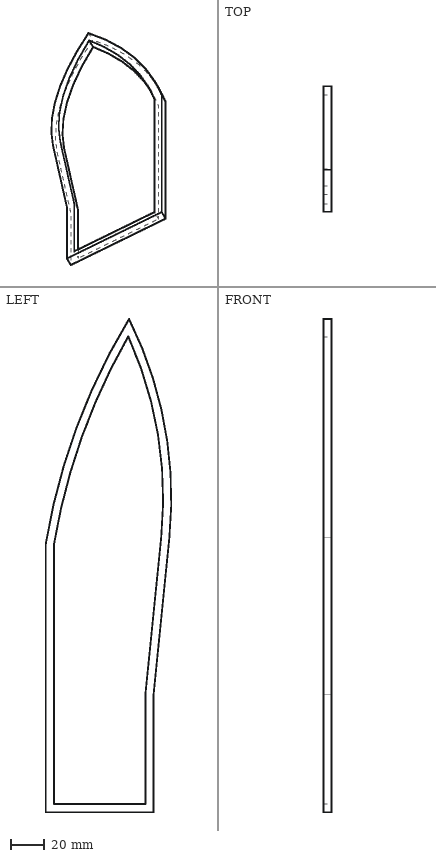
import cadquery as cq

bar_width = 5.0
bar_depth = 5.0

height = 298.0
base_width = 65.2
front_edge_height = 71.2
back_edge_height = 162.0
tip_setback = 50.3

front_arc_start = (-74.8, 166.0)
front_arc_middle = (-72.0, 232.7)
back_arc_middle = (-18.0, 230.3)

tip = (-tip_setback, height)


def outline():
    """Closed outer outline of the pointed frame in the YZ plane."""
    return (
        cq.Workplane("YZ")
        .moveTo(0, 0)
        .lineTo(-base_width, 0)
        .lineTo(-base_width, front_edge_height)
        .lineTo(*front_arc_start)
        .threePointArc(front_arc_middle, tip)
        .threePointArc(back_arc_middle, (0, back_edge_height))
        .close()
    )


plate = outline().extrude(bar_depth)
opening = outline().offset2D(-bar_width, "intersection").extrude(bar_depth)
result = plate.cut(opening)